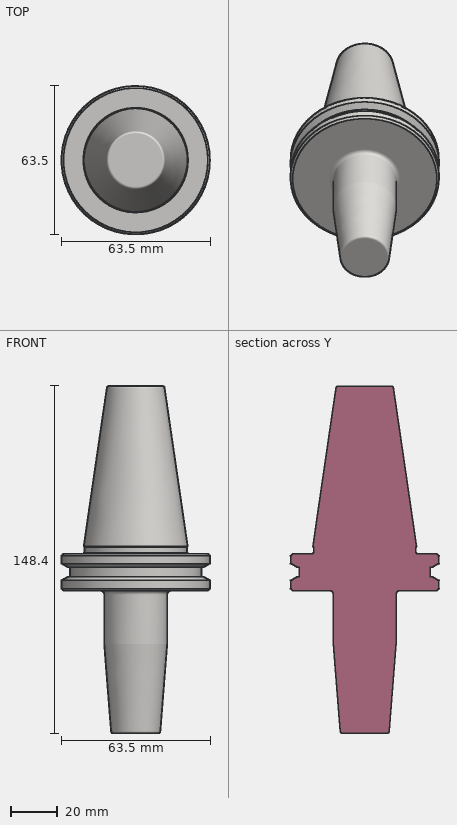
import cadquery as cq
import math


gauge_radius = 44.45 / 2
shank_length = 68.4
taper_ratio = 7 / 24
shank_end_round = 1.0

collar_step = 0.225
collar_step_height = 0.4
collar_root = 0.4

flange_radius = 63.5 / 2
flange_top = -3.2
flange_bottom = -19.1
flange_chamfer = 0.95
groove_floor_radius = 56.25 / 2
groove_center = -11.05
groove_mouth = 7.2
groove_slot_width = 4.0
groove_flank_angle = 30.0

nose_bottom = -80.0
neck_radius = 27.0 / 2
tip_radius = 21.0 / 2
nose_taper_angle = 4.5
neck_fillet = 1.6
tip_round = 1.0

shank_end_radius = gauge_radius - shank_length * taper_ratio / 2
collar_radius = gauge_radius - collar_step
groove_flank_height = (groove_mouth - groove_slot_width) / 2
groove_flank_depth = groove_flank_height / math.tan(math.radians(groove_flank_angle))
groove_shelf_radius = flange_radius - groove_flank_depth
slot_top = groove_center + groove_slot_width / 2
slot_bottom = groove_center - groove_slot_width / 2
groove_top = groove_center + groove_mouth / 2
groove_bottom = groove_center - groove_mouth / 2
nose_taper_height = (neck_radius - tip_radius) / math.tan(math.radians(nose_taper_angle))
nose_taper_top = nose_bottom + nose_taper_height


def revolve_outline(points):
    """Turn a closed (radius, height) outline about the Z axis."""
    outline = cq.Workplane("XZ").polyline(points).close()
    return outline.revolve(360, (0, 0, 0), (0, 1, 0))


def make_shank():
    shank = revolve_outline([
        (0, flange_top),
        (collar_radius + collar_root, flange_top),
        (collar_radius, flange_top + collar_root),
        (collar_radius, -collar_step_height),
        (gauge_radius, 0),
        (shank_end_radius, shank_length),
        (0, shank_length),
    ])
    return shank.faces(">Z").edges().fillet(shank_end_round)


def make_flange():
    flange = revolve_outline([
        (0, flange_bottom),
        (flange_radius, flange_bottom),
        (flange_radius, groove_bottom),
        (groove_shelf_radius, slot_bottom),
        (groove_floor_radius, slot_bottom),
        (groove_floor_radius, slot_top),
        (groove_shelf_radius, slot_top),
        (flange_radius, groove_top),
        (flange_radius, flange_top),
        (0, flange_top),
    ])
    return flange.faces("<Z or >Z").edges().chamfer(flange_chamfer)


def make_nose():
    nose = revolve_outline([
        (0, nose_bottom),
        (tip_radius, nose_bottom),
        (neck_radius, nose_taper_top),
        (neck_radius, flange_bottom),
        (0, flange_bottom),
    ])
    return nose.faces("<Z").edges().fillet(tip_round)


def make_neck_fillet():
    """Concave ring blending the neck into the underside of the flange."""
    outer_radius = neck_radius + neck_fillet
    lower_height = flange_bottom - neck_fillet
    arc_offset = neck_fillet * math.sqrt(0.5)
    section = (
        cq.Workplane("XZ")
        .moveTo(0, lower_height)
        .lineTo(neck_radius, lower_height)
        .threePointArc(
            (outer_radius - arc_offset, lower_height + arc_offset),
            (outer_radius, flange_bottom),
        )
        .lineTo(0, flange_bottom)
        .close()
    )
    return section.revolve(360, (0, 0, 0), (0, 1, 0))


result = make_shank().union(make_flange()).union(make_nose()).union(make_neck_fillet())